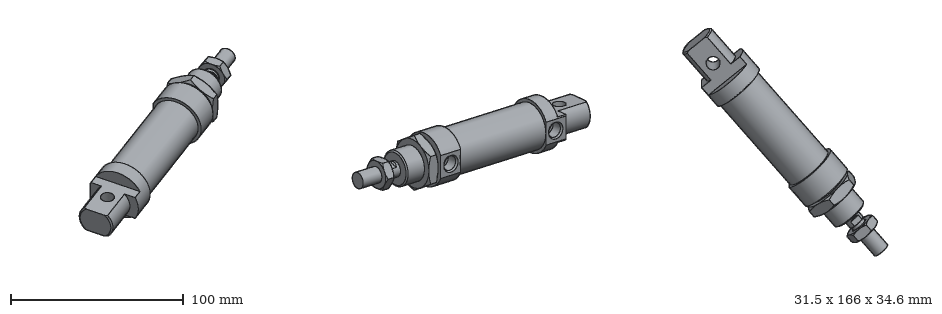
import cadquery as cq
import math


tongue_length = 22.0
cap_length = 15.0
tube_length = 64.0
nose_length = 22.0
cap_cut_length = 6.0

tongue_diameter = 22.0
tongue_thickness = 16.0
cap_diameter = 33.0
cap_flat_offset = 14.85
tube_diameter = 29.0
nose_diameter = 22.0

end_chamfer_depth = 1.0
end_chamfer_height = 0.75

clevis_hole_diameter = 8.0
clevis_hole_y = 15.0
port_diameter = 9.0
port_chamfer_width = 0.75
port_chamfer_depth = port_chamfer_width * math.tan(math.radians(60))
port_depth = 8.0
port_to_tube = 7.25

rod_diameter = 10.0
thread_length = 20.0
neck_diameter = 9.0
neck_length = 2.0
shank_length = 6.0
wrench_flat_width = 8.0
wrench_flat_length = 3.5
wrench_flat_angle = 19.0

rod_nut_width = 17.0
rod_nut_thickness = 6.0
rod_nut_to_tip = 14.0
mount_nut_width = 30.0
mount_nut_thickness = 7.0
mount_nut_gap = 2.0
nut_chamfer_angle = 30.0

rear_cap_start = tongue_length
tube_start = rear_cap_start + cap_length
front_cap_start = tube_start + tube_length
nose_start = front_cap_start + cap_length
nose_end = nose_start + nose_length
neck_start = nose_end + shank_length
thread_start = neck_start + neck_length
rod_tip = thread_start + thread_length
rod_nut_start = rod_tip - rod_nut_to_tip - rod_nut_thickness
mount_nut_start = nose_start + mount_nut_gap


def workplane_at(y):
    """XZ plane at the given Y whose normal points to +Y (local x runs towards -X)."""
    return cq.Workplane(cq.Plane(origin=(0, y, 0), xDir=(-1, 0, 0), normal=(0, 1, 0)))


def cylinder(y, length, diameter):
    """Cylinder on the main axis from y to y + length."""
    return workplane_at(y).circle(diameter / 2).extrude(length)


def make_cap(y):
    """End cap with the port flat on its -X side."""
    flat_cutter = cq.Workplane("XY").box(
        cap_diameter, cap_length, cap_diameter, centered=(True, False, True)
    ).translate((-cap_flat_offset - cap_diameter / 2, y, 0))
    return cylinder(y, cap_length, cap_diameter).cut(flat_cutter)


def make_port(y):
    """Blind port cutter with a chamfered mouth, drilled from the cap flat towards +X."""
    radius = port_diameter / 2
    return (
        cq.Workplane("XY", origin=(-cap_flat_offset, y, 0))
        .moveTo(0, 0)
        .lineTo(0, radius + port_chamfer_width)
        .lineTo(port_chamfer_depth, radius)
        .lineTo(port_depth, radius)
        .lineTo(port_depth, 0)
        .close()
        .revolve(360, (0, 0), (1, 0))
    )


def make_body():
    """Rear clevis, two caps, tube and threaded nose as one housing."""
    tongue = cylinder(0, tongue_length, tongue_diameter)
    tongue = tongue.faces("<Y").chamfer(end_chamfer_height, end_chamfer_depth)
    rear_end = tongue.union(make_cap(rear_cap_start))

    milled_length = tongue_length + cap_cut_length
    for side in (1, -1):
        side_cutter = cq.Workplane("XY").box(
            cap_diameter, milled_length, cap_diameter, centered=(True, False, True)
        ).translate((0, 0, side * (tongue_thickness + cap_diameter) / 2))
        rear_end = rear_end.cut(side_cutter)

    clevis_hole = (
        cq.Workplane("XY")
        .center(0, clevis_hole_y)
        .circle(clevis_hole_diameter / 2)
        .extrude(tongue_thickness / 2, both=True)
    )
    nose = cylinder(nose_start, nose_length, nose_diameter)
    nose = nose.faces(">Y").chamfer(end_chamfer_height, end_chamfer_depth)

    housing = (
        rear_end.cut(clevis_hole)
        .union(cylinder(tube_start, tube_length, tube_diameter))
        .union(make_cap(front_cap_start))
        .union(nose)
    )
    for port_y in (tube_start - port_to_tube, front_cap_start + port_to_tube):
        housing = housing.cut(make_port(port_y))
    return housing


def make_rod():
    """Rod with wrench flats on its shank, a neck and the thread, standing on the nose face."""
    rod = (
        cylinder(nose_end, shank_length, rod_diameter)
        .union(cylinder(neck_start, neck_length, neck_diameter))
        .union(cylinder(thread_start, thread_length, rod_diameter))
    )
    flat_offset = wrench_flat_width / 2
    flat_depth = rod_diameter / 2 - flat_offset
    flat_end = neck_start - wrench_flat_length
    for angle in (-wrench_flat_angle, 180 - wrench_flat_angle):
        flat_cutter = (
            cq.Workplane("YZ")
            .moveTo(neck_start, flat_offset)
            .lineTo(flat_end, flat_offset)
            .lineTo(flat_end - flat_depth, flat_offset + flat_depth)
            .lineTo(neck_start, flat_offset + flat_depth)
            .close()
            .extrude(rod_diameter / 2, both=True)
            .rotate((0, 0, 0), (0, 1, 0), angle)
        )
        rod = rod.cut(flat_cutter)
    return rod


def make_nut(y, width, thickness, hole_diameter, turn):
    """Hexagon nut from y to y + thickness; a turn of 0 puts two corners on the X axis."""
    corner_radius = width / 2 / math.cos(math.radians(30))
    face_radius = width / 2
    chamfer_height = (corner_radius - face_radius) * math.tan(math.radians(nut_chamfer_angle))

    hexagon = (
        workplane_at(y)
        .polygon(6, 2 * corner_radius)
        .circle(hole_diameter / 2)
        .extrude(thickness)
        .rotate((0, 0, 0), (0, 1, 0), turn)
    )
    envelope = (
        cq.Workplane("XY")
        .moveTo(0, y)
        .lineTo(face_radius, y)
        .lineTo(corner_radius, y + chamfer_height)
        .lineTo(corner_radius, y + thickness - chamfer_height)
        .lineTo(face_radius, y + thickness)
        .lineTo(0, y + thickness)
        .close()
        .revolve(360, (0, 0), (0, 1))
    )
    return hexagon.intersect(envelope)


body = make_body()
piston_rod = make_rod()
rod_nut = make_nut(rod_nut_start, rod_nut_width, rod_nut_thickness, rod_diameter, turn=0)
mount_nut = make_nut(mount_nut_start, mount_nut_width, mount_nut_thickness, nose_diameter, turn=30)

result = cq.Compound.makeCompound([
    body.val(),
    piston_rod.val(),
    rod_nut.val(),
    mount_nut.val(),
])